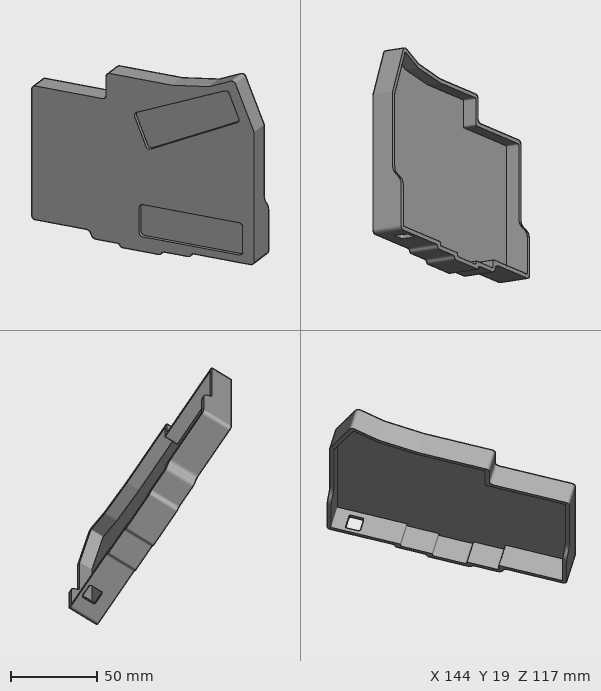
import cadquery as cq
import math

width = 144.0
depth = 19.0
upper_depth = 13.2
height = 117.0

wall = 2.5
pocket_depth = wall
front_thickness = pocket_depth + wall

shelf_z = 90.8
riser_x = 48.1
top_z = 107.4
slope_start_x = 90.8
slope_end_x = 114.9
tilt = math.radians(23.2)
apex_center_x = 129.7

floor_levels = [7.2, 2.2, 0.0, 2.2, 4.5]
outer_steps = [
    (38.5, 0.7, 3.5),
    (57.0, 0.6, 1.7),
    (83.9, 0.6, 1.7),
    (102.9, 0.6, 1.7),
]
inner_steps = [
    (40.9, 0, 1.0),
    (60.0, 0, 1.0),
    (80.6, 0, 1.0),
    (99.8, 0, 1.0),
]

corner_radius = 2.5
kink_radius = 3.5
small_radius = 1.0
cavity_right_radius = 0.5

ramp_bottom_z = 31.4
ramp_top_z = 43.8

pocket_radius = 2.5
lower_pocket_x = (69.5, 136.5)
lower_pocket_z = (9.2, 29.4)
tilted_pocket_corners = [(65.8, 85.4), (127.0, 111.0), (134.7, 92.5), (74.8, 63.9)]

slot_x = (124.8, 133.6)
slot_back_y = 16.8
slot_length = slot_x[1] - slot_x[0]


def rounded_outline(corners):
    """Closed XZ outline through (x, z, radius) corners, each rounded by a tangent arc."""
    outline = None
    for i, (x, z, radius) in enumerate(corners):
        corner = cq.Vector(x, z)
        before = cq.Vector(*corners[i - 1][:2]) - corner
        after = cq.Vector(*corners[(i + 1) % len(corners)][:2]) - corner
        to_before = before.normalized()
        to_after = after.normalized()
        half_angle = to_before.getAngle(to_after) / 2
        setback = radius / math.tan(half_angle)
        to_middle = radius / math.sin(half_angle) - radius
        start = corner + to_before * setback
        middle = corner + (to_before + to_after).normalized() * to_middle
        end = corner + to_after * setback
        if outline is None:
            outline = cq.Workplane("XZ").moveTo(start.x, start.y)
        else:
            outline = outline.lineTo(start.x, start.y)
        outline = outline.threePointArc((middle.x, middle.y), (end.x, end.y))
    return outline.close()


def prism(corners, front_y, back_y):
    """Solid between two Y planes with the rounded outline given by its corners."""
    return rounded_outline(corners).extrude(front_y - back_y).translate((0, front_y, 0))


def stepped_floor(steps, lift):
    """Corners of the lower edge, left to right, from (x, lean, radius) steps."""
    corners = []
    for i, (x, lean, radius) in enumerate(steps):
        corners.append((x - lean, floor_levels[i] + lift, radius))
        corners.append((x + lean, floor_levels[i + 1] + lift, radius))
    return corners


def body_corners(inset, steps, radius, lower_right_radius):
    """Housing outline moved inwards by inset, anticlockwise from the lower left corner."""
    apex_reach = corner_radius - inset
    apex_x = apex_center_x + apex_reach * (math.cos(tilt) - math.sin(tilt))
    apex_z = height - corner_radius + apex_reach * (math.cos(tilt) + math.sin(tilt))
    right_x = width - inset
    shoulder_z = apex_z - (right_x - apex_x) / math.tan(tilt)
    slope_end_z = apex_z - (apex_x - slope_end_x) * math.tan(tilt)
    return [
        (inset, floor_levels[0] + inset, radius),
        *stepped_floor(steps, inset),
        (right_x, floor_levels[-1] + inset, lower_right_radius),
        (right_x, shoulder_z, small_radius),
        (apex_x, apex_z, radius),
        (slope_end_x, slope_end_z, kink_radius),
        (slope_start_x, top_z - inset, kink_radius),
        (riser_x + inset, top_z - inset, radius),
        (riser_x + inset, shelf_z - inset, radius),
        (inset, shelf_z - inset, radius),
    ]


def upper_relief():
    """Space behind the thin upper part, ending below in the S-shaped ramp of two equal arcs."""
    ramp_rise = ramp_top_z - ramp_bottom_z
    ramp_run = depth - upper_depth
    radius = (ramp_rise**2 + ramp_run**2) / (4 * ramp_run)
    sweep = math.asin(ramp_rise / 2 / radius)
    arc_side = radius * (1 - math.cos(sweep / 2))
    arc_rise = radius * math.sin(sweep / 2)
    middle = (depth - ramp_run / 2, (ramp_bottom_z + ramp_top_z) / 2)
    return (
        cq.Workplane("YZ")
        .moveTo(depth, ramp_bottom_z)
        .threePointArc((depth - arc_side, ramp_bottom_z + arc_rise), middle)
        .threePointArc((upper_depth + arc_side, ramp_top_z - arc_rise), (upper_depth, ramp_top_z))
        .lineTo(upper_depth, height)
        .lineTo(depth, height)
        .close()
        .extrude(width)
    )


def lower_pocket():
    left, right = lower_pocket_x
    bottom, top = lower_pocket_z
    corners = [(left, bottom), (right, bottom), (right, top), (left, top)]
    return prism([(x, z, pocket_radius) for x, z in corners], 0, pocket_depth)


def tilted_pocket():
    return prism([(x, z, pocket_radius) for x, z in tilted_pocket_corners], 0, pocket_depth)


def floor_slot():
    """Square slot with rounded corners, upwards through the bottom wall only."""
    return (
        cq.Workplane("XY")
        .center(sum(slot_x) / 2, slot_back_y - slot_length / 2)
        .rect(slot_length, slot_length)
        .extrude(floor_levels[-1] + 2 * wall)
        .edges("|Z")
        .fillet(small_radius)
    )


outer_corners = body_corners(0, outer_steps, corner_radius, corner_radius)
cavity_corners = body_corners(wall, inner_steps, small_radius, cavity_right_radius)

body = prism(outer_corners, 0, depth)
cavity = prism(cavity_corners, front_thickness, depth)

result = body.cut(cavity).cut(upper_relief()).cut(lower_pocket()).cut(tilted_pocket()).cut(floor_slot())